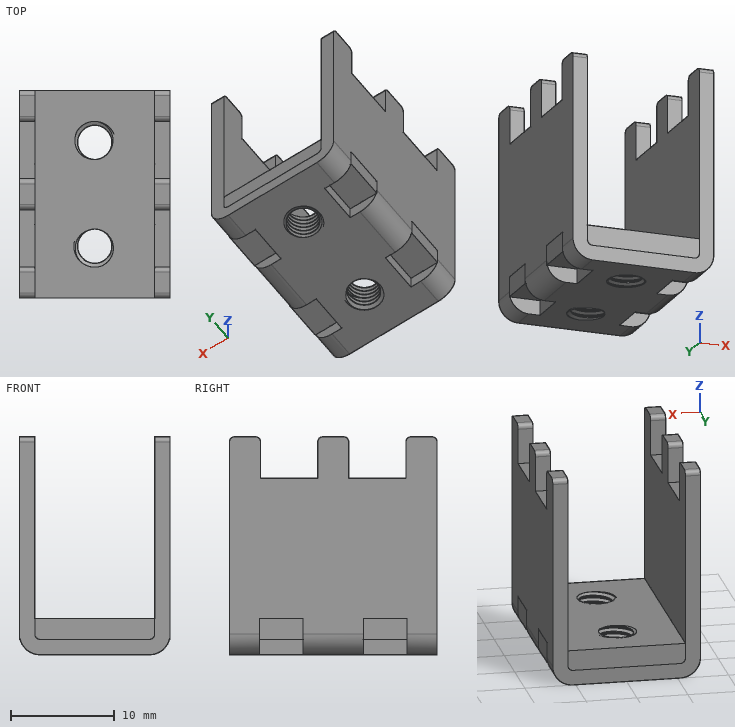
import cadquery as cq


width = 14.51
length = 20.0
height = 21.0
sheet = 1.5
bend_inner_radius = 0.5
bend_outer_radius = bend_inner_radius + sheet
inner_width = width - 2 * sheet

tooth_count = 3
tooth_width = 3.0
tooth_height = 4.0
tooth_corner_radius = 0.5
tooth_pitch = (length - tooth_width) / (tooth_count - 1)
tooth_gap = tooth_pitch - tooth_width

plate_thickness = 2.02
plate_top = sheet + plate_thickness

station_offset = 5.0
stations = (-station_offset, station_offset)
tab_width = 4.2
slot_depth = 3.15

bore_radius = 1.64
thread_root_radius = 2.02
thread_pitch = 0.59
groove_mouth = 0.48
groove_root = 0.1
turns_below_top = 7
turns_above_top = 1
bore_extension = 2.1
groove_overlap = 0.02
groove_angles = (-102.0, 114.0)


def box(size_x, size_y, z_bottom, z_top):
    """Box centred on X and Y between two heights."""
    return (
        cq.Workplane("XY")
        .workplane(offset=z_bottom)
        .rect(size_x, size_y)
        .extrude(z_top - z_bottom)
    )


def rounded_bottom_bar(size_x, z_bottom, z_top, bottom_radius):
    """Full-length bar with its two long lower edges rounded."""
    return box(size_x, length, z_bottom, z_top).edges("|Y and <Z").fillet(bottom_radius)


def make_thread_groove():
    """Right-hand helical cutter, heading along +X where it meets the plate's top face."""
    turns = turns_below_top + turns_above_top
    start_z = plate_top - turns_below_top * thread_pitch
    path = cq.Wire.makeHelix(thread_pitch, turns * thread_pitch, bore_radius)
    inner_radius = bore_radius - groove_overlap
    flank_slope = (groove_mouth - groove_root) / 2 / (thread_root_radius - bore_radius)
    inner_half = groove_mouth / 2 + groove_overlap * flank_slope
    root_half = groove_root / 2
    profile = cq.Workplane("XZ").polyline(
        [
            (inner_radius, -inner_half),
            (thread_root_radius, -root_half),
            (thread_root_radius, root_half),
            (inner_radius, inner_half),
        ]
    ).close()
    return profile.sweep(cq.Workplane(path), isFrenet=True).translate((0, 0, start_z))


def cut_threaded_holes(body):
    """Cut the share of both threaded holes that lies in a body.

    The thread runs on without a break from the plate into the channel floor.
    """
    bore = (
        cq.Workplane("XY")
        .workplane(offset=-bore_extension)
        .circle(bore_radius)
        .extrude(plate_top + 2 * bore_extension)
    )
    tap = bore.union(make_thread_groove())
    for y, angle in zip(stations, groove_angles):
        turned_tap = tap.rotate((0, 0, 0), (0, 0, 1), angle)
        body = body.cut(turned_tap.translate((0, y, 0)))
    return body


def make_channel():
    outside = rounded_bottom_bar(width, 0, height, bend_outer_radius)
    inside = rounded_bottom_bar(inner_width, sheet, height, bend_inner_radius)
    channel = outside.cut(inside)

    for gap in range(tooth_count - 1):
        gap_y = (gap - (tooth_count - 2) / 2) * tooth_pitch
        notch = box(width, tooth_gap, height - tooth_height, height)
        channel = channel.cut(notch.translate((0, gap_y, 0)))
    channel = channel.edges("|X and >Z").fillet(tooth_corner_radius)

    slot_center_x = (width - slot_depth) / 2
    for y in stations:
        for side in (-1, 1):
            slot = box(slot_depth, tab_width, 0, plate_top)
            channel = channel.cut(slot.translate((side * slot_center_x, y, 0)))
    return cut_threaded_holes(channel).solids()


def make_plate():
    plate = rounded_bottom_bar(inner_width, sheet, plate_top, bend_inner_radius)
    for y in stations:
        tab_pair = box(width, tab_width, sheet, plate_top)
        plate = plate.union(tab_pair.translate((0, y, 0)))
    return cut_threaded_holes(plate).solids()


channel = make_channel()
plate = make_plate()

result = cq.Compound.makeCompound([channel.val(), plate.val()])